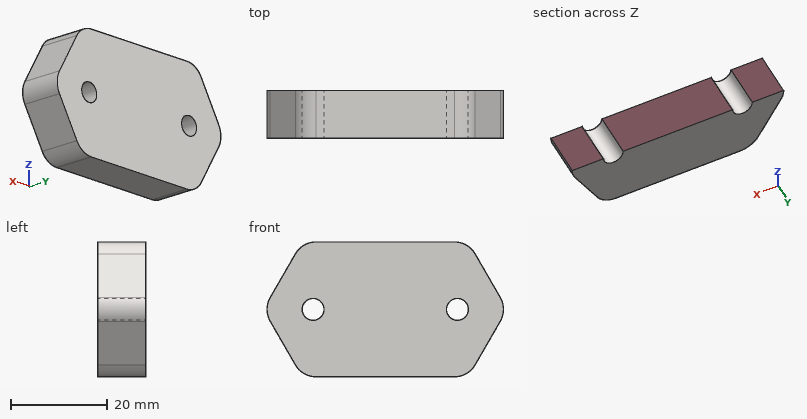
import cadquery as cq
import math

LENGTH = 49.17
HEIGHT = 28.09
THICKNESS = 10.0
CORNER_RADIUS = 5.0
SIDE_ANGLE = 60.0
HOLE_DIAMETER = 4.5
HOLE_SPACING = 30.0

side_angle = math.radians(SIDE_ANGLE)
half_height = HEIGHT / 2
tip_rounding_loss = CORNER_RADIUS * (1 / math.sin(side_angle) - 1)
tip_x = LENGTH / 2 + tip_rounding_loss
shoulder_x = tip_x - half_height / math.tan(side_angle)


def make_plate():
    """Elongated hexagonal plate with all six corners rounded, centred on the origin."""
    corners = [
        (tip_x, 0),
        (shoulder_x, half_height),
        (-shoulder_x, half_height),
        (-tip_x, 0),
        (-shoulder_x, -half_height),
        (shoulder_x, -half_height),
    ]
    plate = cq.Workplane("XZ").polyline(corners).close().extrude(THICKNESS / 2, both=True)
    return plate.edges("|Y").fillet(CORNER_RADIUS)


def drill_holes(plate):
    """Two through holes along Y, symmetric about the plate centre."""
    centres = [(-HOLE_SPACING / 2, 0), (HOLE_SPACING / 2, 0)]
    return plate.faces("<Y").workplane(origin=(0, 0, 0)).pushPoints(centres).hole(HOLE_DIAMETER)


result = drill_holes(make_plate())